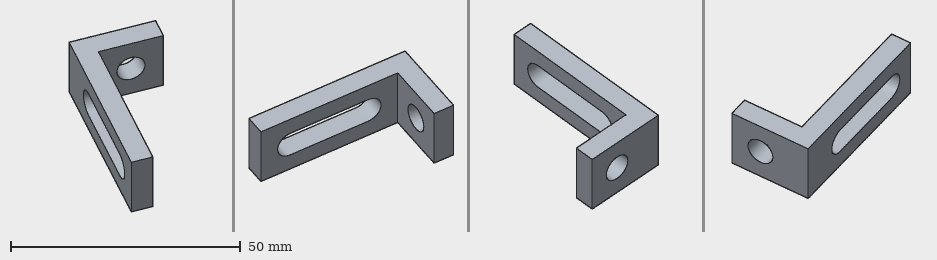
import cadquery as cq

length = 40.0
depth = 20.0
height = 15.0
thickness = 5.0
bore_diameter = 6.5

edge_distance = height / 2
slot_start = thickness + edge_distance
slot_end = length - edge_distance
slot_center = (slot_start + slot_end) / 2
slot_length = slot_end - slot_start + bore_diameter
hole_center = depth - edge_distance


def bracket_body():
    """Two legs meeting in a sharp corner at the origin."""
    long_leg = cq.Workplane("XY").box(length, thickness, height, centered=False)
    short_leg = cq.Workplane("XY").box(thickness, depth, height, centered=False)
    return long_leg.union(short_leg)


def slot_cutter():
    """Round-ended slot through the long leg, along Y."""
    return (
        cq.Workplane("XZ")
        .center(slot_center, height / 2)
        .slot2D(slot_length, bore_diameter)
        .extrude(-thickness)
    )


def hole_cutter():
    """Round hole through the short leg, along X."""
    return (
        cq.Workplane("YZ")
        .center(hole_center, height / 2)
        .circle(bore_diameter / 2)
        .extrude(thickness)
    )


result = bracket_body().cut(slot_cutter()).cut(hole_cutter())